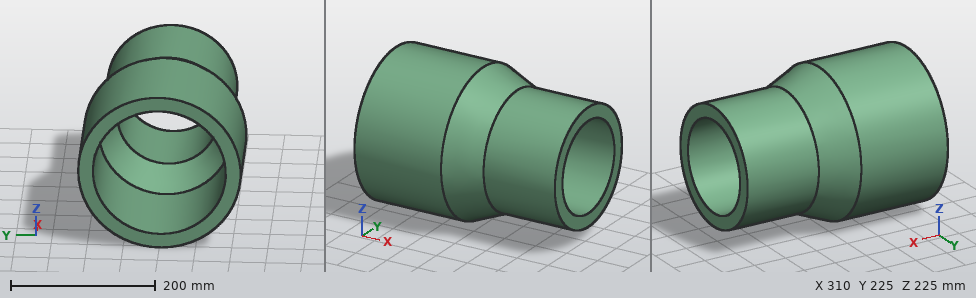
import cadquery as cq

large_outer_diameter = 225.0
large_bore_diameter = 184.0
small_outer_diameter = 180.0
small_bore_diameter = 139.0

total_length = 310.0
large_length = 140.0
small_length = 115.0

taper_start = large_length
taper_end = total_length - small_length


def stepped_body(large_diameter, small_diameter):
    """Solid of revolution: large cylinder, conical taper, small cylinder."""
    large_radius = large_diameter / 2
    small_radius = small_diameter / 2
    return (
        cq.Workplane("XY")
        .moveTo(0, 0)
        .lineTo(0, large_radius)
        .lineTo(taper_start, large_radius)
        .lineTo(taper_end, small_radius)
        .lineTo(total_length, small_radius)
        .lineTo(total_length, 0)
        .close()
        .revolve(360, (0, 0, 0), (1, 0, 0))
    )


outer_body = stepped_body(large_outer_diameter, small_outer_diameter)
bore = stepped_body(large_bore_diameter, small_bore_diameter)

result = outer_body.cut(bore)